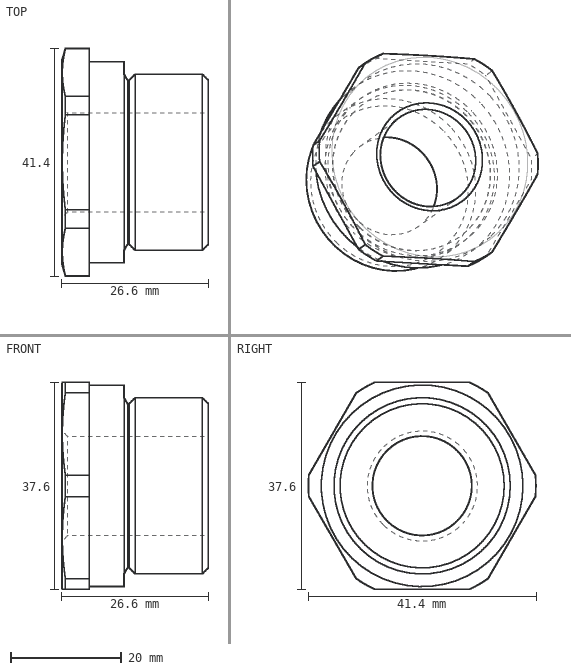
import cadquery as cq
import math

across_flats = 37.6
corner_diameter = 41.35
head_thickness = 5.0
face_circle_diameter = 37.0
face_chamfer_angle = math.radians(16)

collar_diameter = 36.6
collar_length = 6.3

groove_diameter = 29.8
groove_floor_width = 0.25
groove_collar_side_angle = math.radians(60)

spigot_diameter = 32.0
spigot_chamfer = 1.1
overall_length = 26.6

bore_diameter = 18.0
bore_chamfer = 1.0

collar_end = head_thickness + collar_length
groove_depth = (spigot_diameter - groove_diameter) / 2
groove_floor_start = collar_end + groove_depth / math.tan(groove_collar_side_angle)
groove_floor_end = groove_floor_start + groove_floor_width
spigot_start = groove_floor_end + groove_depth
spigot_chamfer_start = overall_length - spigot_chamfer


def revolve_about_x(profile):
    """Revolve a closed list of (axial position, radius) points about the X axis."""
    return cq.Workplane("XY").polyline(profile).close().revolve(360, (0, 0, 0), (1, 0, 0))


def make_head():
    """Hexagon with flats facing +Z and -Z, its corners turned round and its face chamfered."""
    hexagon_diameter = across_flats / math.cos(math.pi / 6)
    hexagon = cq.Workplane("YZ").polygon(6, hexagon_diameter).extrude(head_thickness)
    face_radius = face_circle_diameter / 2
    corner_radius = corner_diameter / 2
    face_chamfer_depth = (corner_radius - face_radius) * math.tan(face_chamfer_angle)
    turned_blank = revolve_about_x([
        (0, 0),
        (0, face_radius),
        (face_chamfer_depth, corner_radius),
        (head_thickness, corner_radius),
        (head_thickness, 0),
    ])
    return hexagon.intersect(turned_blank)


def make_shank():
    """Collar, relief groove and chamfered spigot as one turned shape."""
    collar_radius = collar_diameter / 2
    groove_radius = groove_diameter / 2
    spigot_radius = spigot_diameter / 2
    return revolve_about_x([
        (head_thickness, 0),
        (head_thickness, collar_radius),
        (collar_end, collar_radius),
        (collar_end, spigot_radius),
        (groove_floor_start, groove_radius),
        (groove_floor_end, groove_radius),
        (spigot_start, spigot_radius),
        (spigot_chamfer_start, spigot_radius),
        (overall_length, spigot_radius - spigot_chamfer),
        (overall_length, 0),
    ])


def make_bore():
    """Through bore with a conical chamfer at the head face."""
    bore_radius = bore_diameter / 2
    return revolve_about_x([
        (0, 0),
        (0, bore_radius + bore_chamfer),
        (bore_chamfer, bore_radius),
        (overall_length, bore_radius),
        (overall_length, 0),
    ])


result = make_head().union(make_shank()).cut(make_bore())